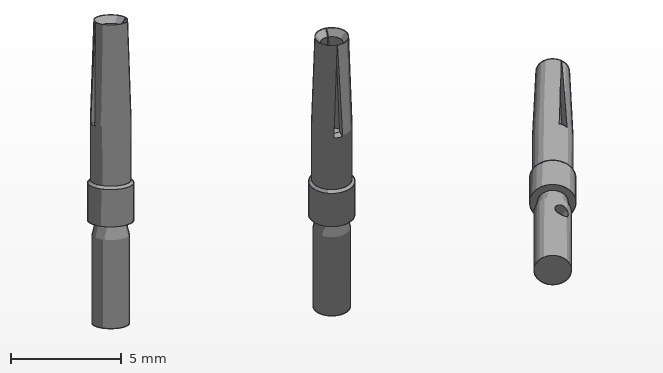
import cadquery as cq

total_length = 14.4
tail_top = 4.2
collar_bottom = 4.9
collar_top = 6.8
tine_length = 4.8
tine_root = total_length - tine_length

tail_radius = 1.7 / 2
neck_radius = 1.42 / 2
collar_radius = 2.1 / 2
barrel_radius = 1.85 / 2
tip_radius = 1.53 / 2
collar_chamfer = collar_radius - barrel_radius
neck_length = 0.13

bore_radius = 0.51
bore_depth = 5.2
drill_point_height = 0.3
funnel_depth = 0.33

slit_depth = 4.85
slit_root_width = 0.42
slit_tip_width = 0.02

inspection_height = 3.42
inspection_diameter = 0.7


def make_body():
    """Turned outside shape of the contact."""
    return (
        cq.Workplane("XZ")
        .moveTo(0, 0)
        .lineTo(tail_radius, 0)
        .lineTo(tail_radius, tail_top)
        .lineTo(neck_radius, collar_bottom - neck_length)
        .lineTo(neck_radius, collar_bottom)
        .lineTo(collar_radius, collar_bottom)
        .lineTo(collar_radius, collar_top - collar_chamfer)
        .lineTo(barrel_radius, collar_top)
        .lineTo(barrel_radius, tine_root)
        .lineTo(tip_radius, total_length)
        .lineTo(0, total_length)
        .close()
        .revolve(360, (0, 0, 0), (0, 1, 0))
    )


def make_socket():
    """Bore with a conical bottom and a funnel that runs out to a sharp rim."""
    bore_bottom = total_length - bore_depth
    return (
        cq.Workplane("XZ")
        .moveTo(0, bore_bottom - drill_point_height)
        .lineTo(bore_radius, bore_bottom)
        .lineTo(bore_radius, total_length - funnel_depth)
        .lineTo(tip_radius, total_length)
        .lineTo(0, total_length)
        .close()
        .revolve(360, (0, 0, 0), (0, 1, 0))
    )


def make_slit():
    """Tapered slit along Y that parts the socket into two tines."""
    slit_bottom = total_length - slit_depth
    return (
        cq.Workplane("XZ")
        .moveTo(-slit_root_width / 2, slit_bottom)
        .lineTo(slit_root_width / 2, slit_bottom)
        .lineTo(slit_tip_width / 2, total_length)
        .lineTo(-slit_tip_width / 2, total_length)
        .close()
        .extrude(barrel_radius, both=True)
    )


def make_inspection_hole():
    """Radial hole from the +Y side of the tail to its axis."""
    return (
        cq.Workplane("XZ")
        .center(0, inspection_height)
        .circle(inspection_diameter / 2)
        .extrude(-collar_radius)
    )


result = (
    make_body()
    .cut(make_socket())
    .cut(make_slit())
    .cut(make_inspection_hole())
)